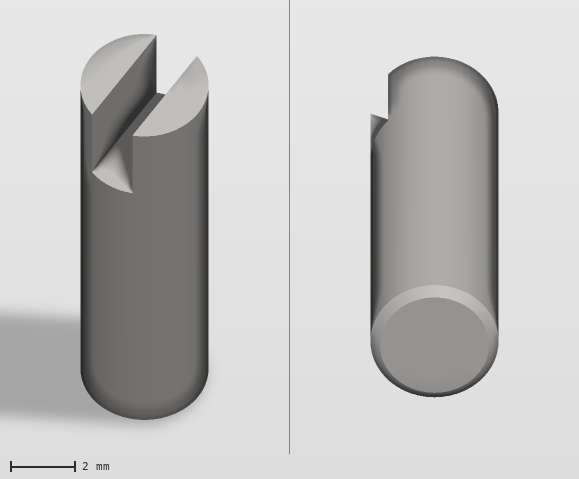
import cadquery as cq

pin_length = 15.0
pin_diameter = 4.0
slot_width = 1.5
slot_depth = 3.0
chamfer_height = 0.25
chamfer_inset = 0.3


def pin_body():
    """Round pin standing on Z = 0, with a chamfered lower end."""
    radius = pin_diameter / 2
    half_profile = (
        cq.Workplane("XZ")
        .moveTo(0, 0)
        .lineTo(radius - chamfer_inset, 0)
        .lineTo(radius, chamfer_height)
        .lineTo(radius, pin_length)
        .lineTo(0, pin_length)
        .close()
    )
    return half_profile.revolve(360, (0, 0, 0), (0, 1, 0))


def driver_slot():
    """Slot running right across the upper end along Y."""
    return (
        cq.Workplane("XY")
        .workplane(offset=pin_length - slot_depth)
        .rect(slot_width, pin_diameter)
        .extrude(slot_depth)
    )


result = pin_body().cut(driver_slot())